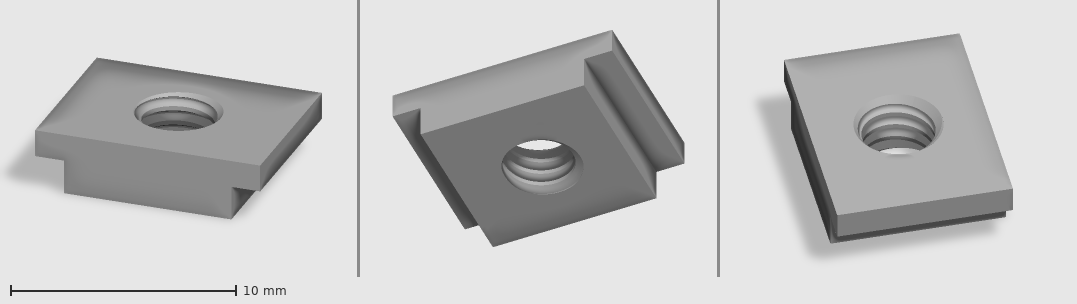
import cadquery as cq
import math

plate_width = 10.64
stem_width = 7.92
length = 8.0
height = 2.87
plate_thickness = 1.27

pitch = 0.7
major_diameter = 4.0
minor_diameter = 3.3
root_flat = pitch / 8
flank_slope = math.tan(math.radians(30))
thread_start_angle = 254.0
overrun_turns = 1
bore_seam_lead = 72.0
crest_overlap = 0.1

countersink_diameter = major_diameter
countersink_angle = 90.0


def make_body():
    """T-section extruded along Y, centred on the hole axis, with its base at Z = 0."""
    stem_height = height - plate_thickness
    stem = cq.Workplane("XY").box(stem_width, length, stem_height, centered=(True, True, False))
    plate = (
        cq.Workplane("XY")
        .workplane(offset=stem_height)
        .box(plate_width, length, plate_thickness, centered=(True, True, False))
    )
    return stem.union(plate)


def make_countersunk_bore():
    """Minor-diameter bore through the full height, widened by a cone at the top face."""
    bore = cq.Workplane("XY").circle(minor_diameter / 2).extrude(height)
    cone_radius = countersink_diameter / 2
    cone_depth = cone_radius / math.tan(math.radians(countersink_angle / 2))
    cone = cq.Solid.makeCone(0, cone_radius, cone_depth, cq.Vector(0, 0, height - cone_depth))
    seam_angle = thread_start_angle + bore_seam_lead
    return bore.union(cq.Workplane(obj=cone)).rotate((0, 0, 0), (0, 0, 1), seam_angle)


def make_thread_groove():
    """Helical 60 degree groove, running past both ends of the hole."""
    turns_in_hole = math.ceil(height / pitch)
    start_z = height - (turns_in_hole + overrun_turns) * pitch
    helix_height = (turns_in_hole + 2 * overrun_turns) * pitch

    inner_radius = minor_diameter / 2 - crest_overlap
    outer_radius = major_diameter / 2
    root_half = root_flat / 2
    mouth_half = root_half + (outer_radius - inner_radius) * flank_slope

    path = cq.Wire.makeHelix(pitch, helix_height, inner_radius)
    groove = (
        cq.Workplane("XZ")
        .polyline([
            (inner_radius, -mouth_half),
            (outer_radius, -root_half),
            (outer_radius, root_half),
            (inner_radius, mouth_half),
        ])
        .close()
        .sweep(cq.Workplane(obj=path), isFrenet=True)
    )
    return groove.rotate((0, 0, 0), (0, 0, 1), thread_start_angle).translate((0, 0, start_z))


grooved_body = make_body().cut(make_thread_groove())
result = grooved_body.cut(make_countersunk_bore(), clean=False).solids()